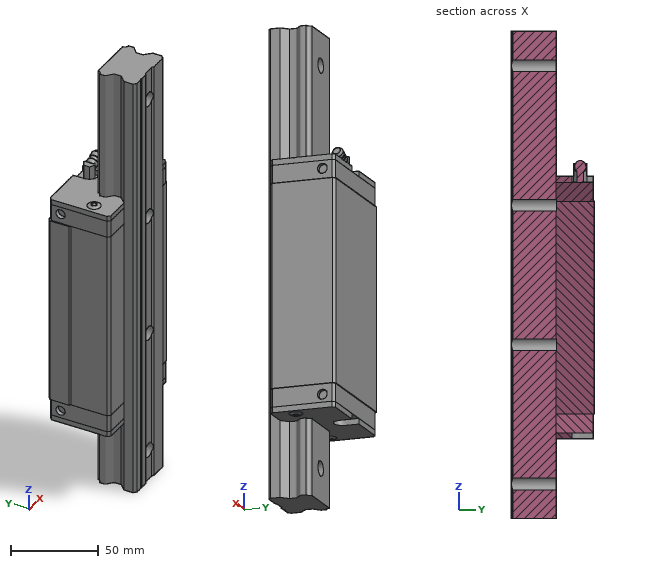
import cadquery as cq
import math


RAIL_LENGTH = 280.0
RAIL_HALF_WIDTH = 17.0
RAIL_HEIGHT = 26.0
BASE_CHAMFER = 1.7
BASE_HEIGHT = 7.5
WAIST_HALF_WIDTH = 13.0
WAIST_TOP = 16.2
HEAD_BOTTOM = 20.0
HEAD_ROUNDING = 1.7
TOP_RACE_SIZE = 2.5
SELECT_MARGIN = 0.3
RELIEF_HALF_WIDTH = 4.9
RELIEF_FLOOR_HALF_WIDTH = 3.5
RELIEF_DEPTH = 0.8
MARK_OFFSET = -10.0
MARK_WIDTH = 1.5
MARK_DEPTH = 0.5
BOLT_HOLE_COUNT = 4
BOLT_HOLE_DIAMETER = 9.0
BOLT_HOLE_END_DISTANCE = 20.0
BOLT_HOLE_PITCH = (RAIL_LENGTH - 2 * BOLT_HOLE_END_DISTANCE) / (BOLT_HOLE_COUNT - 1)

CARRIAGE_CENTER_Z = 121.2
BLOCK_LENGTH = 122.5
CAP_LENGTH = 11.0
SEAL_THICKNESS = 3.5
CARRIAGE_BOTTOM = BASE_HEIGHT
BLOCK_HALF_WIDTH = 35.0
BLOCK_TOP = 48.0
CAP_HALF_WIDTH = 34.2
CAP_TOP = 47.3
EDGE_CHAMFER = 1.7
STEP_DEPTH = BLOCK_HALF_WIDTH - CAP_HALF_WIDTH
STEP_HEIGHT = 32.8

PORT_HEIGHT = 39.8
PORT_DIAMETER = 6.0
PORT_DEPTH = 2.8
PORT_INSET = 6.2
SLOT_WIDTH = 11.2
SCREW_OFFSET = 27.7
SCREW_HEIGHT = 21.3
SCREW_HEAD_DIAMETER = 8.0
SCREW_HEAD_HEIGHT = 1.5
SCREW_SOCKET_DIAMETER = 3.5
SCREW_SOCKET_DEPTH = 0.8

HEX_ACROSS_CORNERS = 7.5
HEX_HEIGHT = 10.5
SPOUT_ELEVATION = 22.5
SPOUT_AXIS_HEIGHT = 7.5
SPOUT_DIAMETER = 6.7
SPOUT_START = 1.7
SPOUT_SHOULDER = 4.8
SPOUT_NECK_END = 7.0
SPOUT_HEAD_END = 9.8
SPOUT_LENGTH = 11.5
SPOUT_NECK_DIAMETER = 5.5
SPOUT_TIP_DIAMETER = 4.5

BLOCK_START = CARRIAGE_CENTER_Z - BLOCK_LENGTH / 2
BLOCK_END = CARRIAGE_CENTER_Z + BLOCK_LENGTH / 2
CAP_END = BLOCK_END + CAP_LENGTH
SEAL_END = CAP_END + SEAL_THICKNESS


def rail_bar(length):
    """Plain rail section without the base grooves, extruded along Z."""
    top_race_middle = TOP_RACE_SIZE * math.sqrt(0.5)
    half = (
        cq.Workplane("XY")
        .moveTo(0, 0)
        .lineTo(RAIL_HALF_WIDTH - BASE_CHAMFER, 0)
        .lineTo(RAIL_HALF_WIDTH, BASE_CHAMFER)
        .lineTo(RAIL_HALF_WIDTH, BASE_HEIGHT)
        .lineTo(WAIST_HALF_WIDTH, BASE_HEIGHT + RAIL_HALF_WIDTH - WAIST_HALF_WIDTH)
        .lineTo(WAIST_HALF_WIDTH, WAIST_TOP)
        .lineTo(RAIL_HALF_WIDTH, HEAD_BOTTOM)
        .lineTo(RAIL_HALF_WIDTH, RAIL_HEIGHT - TOP_RACE_SIZE)
        .threePointArc(
            (RAIL_HALF_WIDTH - top_race_middle, RAIL_HEIGHT - top_race_middle),
            (RAIL_HALF_WIDTH - TOP_RACE_SIZE, RAIL_HEIGHT),
        )
        .lineTo(0, RAIL_HEIGHT)
        .close()
        .extrude(length)
    )
    under_head = cq.selectors.BoxSelector(
        (WAIST_HALF_WIDTH - SELECT_MARGIN, WAIST_TOP - SELECT_MARGIN, 0),
        (RAIL_HALF_WIDTH + SELECT_MARGIN, HEAD_BOTTOM + SELECT_MARGIN, length),
    )
    half = half.edges("|Z").edges(under_head).fillet(HEAD_ROUNDING)
    return half.union(half.mirror("YZ")).clean()


def make_rail():
    """Rail with its base grooves and a row of plain bolt holes."""
    relief = (
        cq.Workplane("XY")
        .polyline([
            (-RELIEF_HALF_WIDTH, 0),
            (RELIEF_HALF_WIDTH, 0),
            (RELIEF_FLOOR_HALF_WIDTH, RELIEF_DEPTH),
            (-RELIEF_FLOOR_HALF_WIDTH, RELIEF_DEPTH),
        ])
        .close()
        .extrude(RAIL_LENGTH)
    )
    mark = (
        cq.Workplane("XY")
        .polyline([
            (MARK_OFFSET - MARK_WIDTH / 2, 0),
            (MARK_OFFSET + MARK_WIDTH / 2, 0),
            (MARK_OFFSET, MARK_DEPTH),
        ])
        .close()
        .extrude(RAIL_LENGTH)
    )
    rail = rail_bar(RAIL_LENGTH).cut(relief).cut(mark)
    for index in range(BOLT_HOLE_COUNT):
        hole_z = BOLT_HOLE_END_DISTANCE + index * BOLT_HOLE_PITCH
        hole = cq.Solid.makeCylinder(
            BOLT_HOLE_DIAMETER / 2, RAIL_HEIGHT, cq.Vector(0, 0, hole_z), cq.Vector(0, 1, 0)
        )
        rail = rail.cut(cq.Workplane(hole))
    return rail


def saddle(half_width, top, start, length):
    """Chamfered box straddling the rail, with a channel that fits the rail section."""
    height = top - CARRIAGE_BOTTOM
    body = (
        cq.Workplane("XY", origin=(0, CARRIAGE_BOTTOM + height / 2, start))
        .rect(2 * half_width, height)
        .extrude(length)
        .edges("|Z")
        .chamfer(EDGE_CHAMFER)
    )
    return body.cut(rail_bar(RAIL_LENGTH))


def make_block():
    """Carriage block, cut back below the reference face on the -X side."""
    step = (
        cq.Workplane("XY", origin=(0, 0, BLOCK_START))
        .polyline([
            (-BLOCK_HALF_WIDTH, CARRIAGE_BOTTOM),
            (-BLOCK_HALF_WIDTH + STEP_DEPTH + EDGE_CHAMFER, CARRIAGE_BOTTOM),
            (-BLOCK_HALF_WIDTH + STEP_DEPTH, CARRIAGE_BOTTOM + EDGE_CHAMFER),
            (-BLOCK_HALF_WIDTH + STEP_DEPTH, STEP_HEIGHT),
            (-BLOCK_HALF_WIDTH, STEP_HEIGHT + STEP_DEPTH),
        ])
        .close()
        .extrude(BLOCK_LENGTH)
    )
    return saddle(BLOCK_HALF_WIDTH, BLOCK_TOP, BLOCK_START, BLOCK_LENGTH).cut(step)


def make_cap():
    """End cap at the +Z end, with a blind grease port in each side."""
    cap = saddle(CAP_HALF_WIDTH, CAP_TOP, BLOCK_END, CAP_LENGTH)
    port_z = BLOCK_END + PORT_INSET
    for side in (-1, 1):
        port = cq.Solid.makeCylinder(
            PORT_DIAMETER / 2,
            PORT_DEPTH,
            cq.Vector(side * CAP_HALF_WIDTH, PORT_HEIGHT, port_z),
            cq.Vector(-side, 0, 0),
        )
        cap = cap.cut(cq.Workplane(port))
    return cap


def screw_head():
    """Domed head with a round socket, standing on the XY plane."""
    head_radius = SCREW_HEAD_DIAMETER / 2
    dome_radius = (head_radius**2 + SCREW_HEAD_HEIGHT**2) / (2 * SCREW_HEAD_HEIGHT)
    dome = (
        cq.Workplane("XY")
        .sphere(dome_radius)
        .translate((0, 0, SCREW_HEAD_HEIGHT - dome_radius))
    )
    head = cq.Workplane("XY").circle(head_radius).extrude(SCREW_HEAD_HEIGHT).intersect(dome)
    socket = (
        cq.Workplane("XY", origin=(0, 0, SCREW_HEAD_HEIGHT - SCREW_SOCKET_DEPTH))
        .circle(SCREW_SOCKET_DIAMETER / 2)
        .extrude(SCREW_SOCKET_DEPTH)
    )
    return head.cut(socket)


def make_seal():
    """End seal at the +Z end, slotted from above for the nipple and carrying two screw heads."""
    seal = saddle(CAP_HALF_WIDTH, CAP_TOP, CAP_END, SEAL_THICKNESS)
    slot_end = (
        cq.Workplane("XY", origin=(0, PORT_HEIGHT, CAP_END))
        .circle(SLOT_WIDTH / 2)
        .extrude(SEAL_THICKNESS)
    )
    slot_height = CAP_TOP - PORT_HEIGHT
    slot = (
        cq.Workplane("XY", origin=(0, PORT_HEIGHT + slot_height / 2, CAP_END))
        .rect(SLOT_WIDTH, slot_height)
        .extrude(SEAL_THICKNESS)
    )
    seal = seal.cut(slot_end).cut(slot)
    for side in (-1, 1):
        seal = seal.union(screw_head().translate((side * SCREW_OFFSET, SCREW_HEIGHT, SEAL_END)))
    return seal


def make_nipple():
    """Hexagonal body on the end cap, with a stepped spout leaning towards +X."""
    body = (
        cq.Workplane("XY", origin=(0, PORT_HEIGHT, CAP_END))
        .transformed(rotate=(0, 0, 90))
        .polygon(6, HEX_ACROSS_CORNERS)
        .extrude(HEX_HEIGHT)
    )
    elevation = math.radians(SPOUT_ELEVATION)
    spout_plane = cq.Plane(
        origin=(0, PORT_HEIGHT, CAP_END + SPOUT_AXIS_HEIGHT),
        xDir=(math.cos(elevation), 0, math.sin(elevation)),
        normal=(0, -1, 0),
    )
    spout = (
        cq.Workplane(spout_plane)
        .polyline([
            (SPOUT_START, 0),
            (SPOUT_START, SPOUT_DIAMETER / 2),
            (SPOUT_SHOULDER, SPOUT_DIAMETER / 2),
            (SPOUT_SHOULDER, SPOUT_NECK_DIAMETER / 2),
            (SPOUT_NECK_END, SPOUT_NECK_DIAMETER / 2),
            (SPOUT_NECK_END, SPOUT_DIAMETER / 2),
            (SPOUT_HEAD_END, SPOUT_DIAMETER / 2),
            (SPOUT_LENGTH, SPOUT_TIP_DIAMETER / 2),
            (SPOUT_LENGTH, 0),
        ])
        .close()
        .revolve(360, (0, 0), (1, 0))
    )
    return body.union(spout)


def both_ends(part):
    """The part at the +Z end and its mirror image at the other end of the carriage."""
    mirrored = part.mirror("XY", (0, 0, CARRIAGE_CENTER_Z))
    return [part.solids().val(), mirrored.solids().val()]


rail = make_rail().solids()
block = make_block().solids()
caps = both_ends(make_cap())
seals = both_ends(make_seal())
nipple = make_nipple().solids()

result = cq.Compound.makeCompound([rail.val(), block.val(), *caps, *seals, nipple.val()])